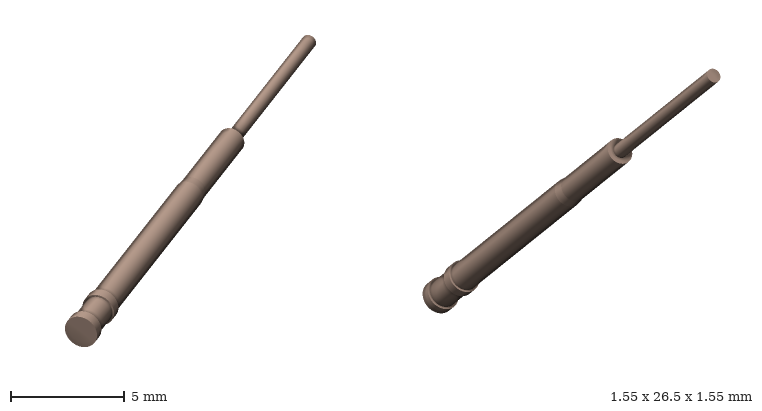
import cadquery as cq

flange_diameter = 1.55
collar_diameter = 1.5
body_diameter = 1.32
sleeve_diameter = 1.22
pin_diameter = 0.65

total_length = 26.5
band_length = 0.5
neck_length = 1.5
body_length = 10.0
sleeve_length = 4.48

neck_start = band_length
collar_start = neck_start + neck_length
body_start = collar_start + band_length
taper_start = body_start + body_length
sleeve_start = taper_start + band_length
pin_start = sleeve_start + sleeve_length


def cylinder(diameter, start, end):
    """Solid cylinder on the Y axis between two distances from the flange face."""
    return (
        cq.Workplane("XZ", origin=(0, start, 0))
        .circle(diameter / 2)
        .extrude(start - end)
    )


def taper(start_diameter, end_diameter, start, end):
    """Solid cone frustum on the Y axis, blending one diameter into another."""
    return cq.Workplane(
        cq.Solid.makeCone(
            start_diameter / 2,
            end_diameter / 2,
            end - start,
            pnt=cq.Vector(0, start, 0),
            dir=cq.Vector(0, 1, 0),
        )
    )


flange = cylinder(flange_diameter, 0, neck_start)
neck = cylinder(body_diameter, neck_start, collar_start)
collar = cylinder(collar_diameter, collar_start, body_start)
body = cylinder(body_diameter, body_start, taper_start)
body_taper = taper(body_diameter, sleeve_diameter, taper_start, sleeve_start)
sleeve = cylinder(sleeve_diameter, sleeve_start, pin_start)
pin = cylinder(pin_diameter, pin_start, total_length)

shaft = flange
for section in (neck, collar, body, body_taper, sleeve, pin):
    shaft = shaft.union(section)

result = shaft.translate((0, -total_length / 2, 0))